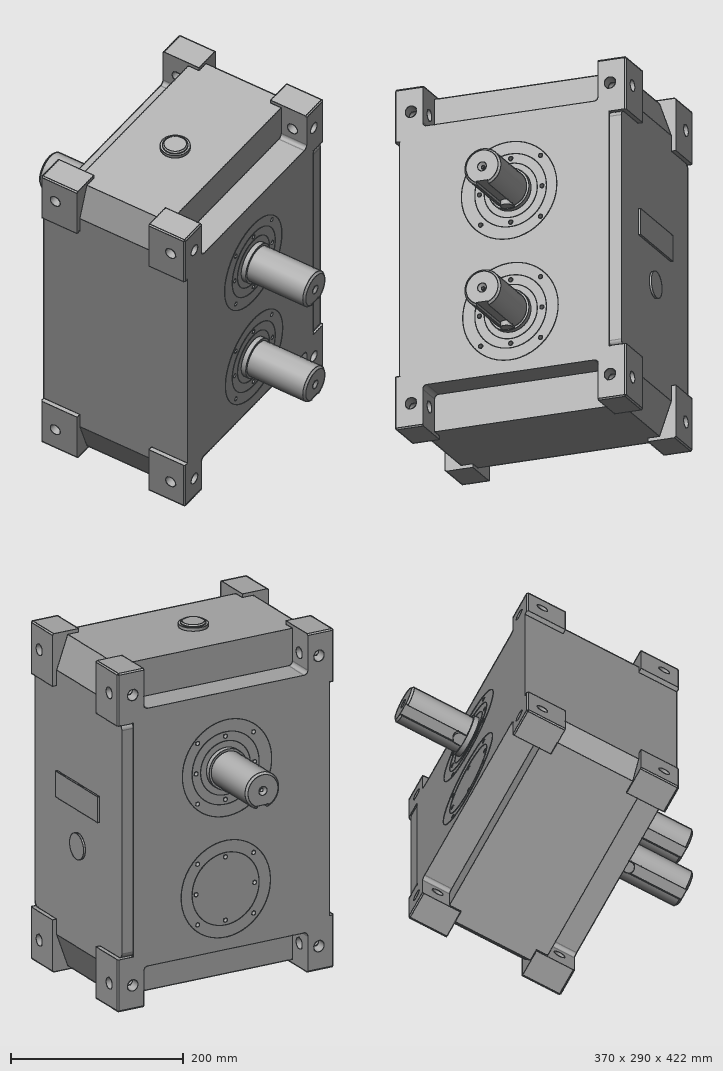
import cadquery as cq
import math

housing_length = 200.0
housing_depth = 278.5
housing_height = 411.0
housing_z = -1.05
bevel_depth = 14.8
bevel_height = 41.5
half_length = housing_length / 2
half_depth = housing_depth / 2
top_z = housing_z + housing_height / 2

foot_length = 50.2
foot_depth = 35.0
foot_height = 65.0
foot_span_y = 290.0
foot_span_z = 420.0
foot_bevel = 1.5
foot_inner_y = foot_span_y / 2 - foot_depth
foot_inner_z = foot_span_z / 2 - foot_height
foot_hole_diameter = 14.0
foot_hole_x = 80
foot_hole_y = 125.0
foot_hole_z = 180.0

pocket_depth = 35.5
pocket_floor_z = 160.0
pocket_fillet = 5.0

cover_thickness = 15.0
cover_inset = 0.5
cover_corner_radius = 6.5

shaft_diameter = 45.0
overall_length = 370.0
shaft_spacing = 150.0
upper_shaft_z = 64.0
lower_shaft_z = upper_shaft_z - shaft_spacing
shaft_bevel = 2.5
collar_diameter = 50.5
collar_length = 5.0
centre_sink_diameter = 11.0
centre_hole_diameter = 4.2
centre_hole_depth = 8.5
key_width = 14.5
key_recess = 5.0
key_rise = 1.3
key_length = 13.5

flange_diameter = 120.0
upper_flange_y = -1.5
lower_flange_y = 0
bearing_cover_diameter = 90.0
seal_diameter = 66.5
seat_step = 0.5
flange_floor = half_length - seat_step
bearing_cover_floor = flange_floor - seat_step
seal_floor = bearing_cover_floor - seat_step
bolt_hole_diameter = 5.0
bolt_hole_depth = 8.5
cover_bolt_radius = 39.2
flange_bolt_radius = 53.0
bolts_per_ring = 4

filler_y = -14.8
filler_flange_diameter = 35.0
filler_flange_height = 4.0
filler_cap_diameter = 29.5
filler_cap_bevel = 1.5
filler_top_z = 211
plate_width = 97
plate_height = 32.0
plate_z = 22.8
glass_diameter = 32.0
glass_z = -39.0
fitting_rise = 2.5


def x_cylinder(diameter, start_x, end_x, y, z):
    """A cylinder along X between two X positions."""
    disc = cq.Workplane("YZ", origin=(start_x, 0, 0)).center(y, z).circle(diameter / 2)
    return disc.extrude(end_x - start_x)


def make_housing():
    """The bevelled block, drawn as an eight-sided outline in YZ."""
    half_height = housing_height / 2
    flat_half = half_height - bevel_height
    ledge = half_depth - bevel_depth
    outline = [
        (-half_depth, -flat_half),
        (-ledge, -half_height),
        (ledge, -half_height),
        (half_depth, -flat_half),
        (half_depth, flat_half),
        (ledge, half_height),
        (-ledge, half_height),
        (-half_depth, flat_half),
    ]
    block = cq.Workplane("YZ", origin=(-half_length, 0, housing_z)).polyline(outline).close()
    return block.extrude(housing_length)


def cut_pockets(body):
    """Cuts the four corner pockets, each running in Y from foot to foot."""
    pocket_height = foot_span_z / 2 - pocket_floor_z
    for side in (-1, 1):
        for level in (-1, 1):
            pocket = (
                cq.Workplane("XY")
                .box(2 * pocket_depth, 2 * foot_inner_y, 2 * pocket_height)
                .edges("|X")
                .fillet(pocket_fillet)
                .translate((side * half_length, 0, housing_z + level * foot_span_z / 2))
            )
            body = body.cut(pocket)
    return body


def shape_cover_plate(body):
    """Sets the ends of the back cover in from the X sides and rounds its corners."""
    block = cq.Workplane("XY").box(2 * housing_length, cover_thickness, 2 * foot_inner_z)
    plate = (
        cq.Workplane("XY")
        .box(housing_length - 2 * cover_inset, cover_thickness, 2 * foot_inner_z)
        .edges("|Y")
        .fillet(cover_corner_radius)
    )
    trim = block.cut(plate).translate((0, half_depth - cover_thickness / 2, housing_z))
    return body.cut(trim)


def make_feet():
    """Eight feet, bevelled where they meet the outside of the part."""
    outer = cq.Workplane("XY").box(housing_length, foot_span_y, foot_span_z).edges().chamfer(foot_bevel)
    blocks = cq.Workplane("XY")
    for side_x in (-1, 1):
        for side_y in (-1, 1):
            for side_z in (-1, 1):
                centre = (
                    side_x * (half_length - foot_length / 2),
                    side_y * (foot_span_y - foot_depth) / 2,
                    side_z * (foot_span_z - foot_height) / 2,
                )
                block = cq.Workplane("XY").box(foot_length, foot_depth, foot_height).translate(centre)
                blocks = blocks.add(block)
    return blocks.combine().intersect(outer).translate((0, 0, housing_z))


def drill_feet(body):
    """Drills each foot through in Y, and in from its X side to meet that hole."""
    for level in (-1, 1):
        z = housing_z + level * foot_hole_z
        for side in (-1, 1):
            along_y = (
                cq.Workplane("XZ", origin=(side * foot_hole_x, 0, z))
                .circle(foot_hole_diameter / 2)
                .extrude(foot_span_y, both=True)
            )
            body = body.cut(along_y)
            for y in (-foot_hole_y, foot_hole_y):
                along_x = x_cylinder(foot_hole_diameter, side * foot_hole_x, side * half_length, y, z)
                body = body.cut(along_x)
    return body


def add_bearing_cover(body, side, z, flange_y):
    """Steps a flange and a bearing cover into one X side and drills their bolt holes."""
    face = side * half_length
    body = body.cut(x_cylinder(flange_diameter, face, side * flange_floor, flange_y, z))
    body = body.cut(x_cylinder(bearing_cover_diameter, face, side * bearing_cover_floor, 0, z))
    half_pitch = math.pi / bolts_per_ring
    for ring_radius, first_angle in ((cover_bolt_radius, 0), (flange_bolt_radius, half_pitch)):
        for bolt in range(bolts_per_ring):
            angle = first_angle + 2 * half_pitch * bolt
            y = ring_radius * math.cos(angle)
            bolt_z = z + ring_radius * math.sin(angle)
            body = body.cut(x_cylinder(bolt_hole_diameter, face, face - side * bolt_hole_depth, y, bolt_z))
    return body


def add_shaft(body, side, z):
    """A collared shaft end with a centre hole and a key seated in its lower side."""
    face = side * half_length
    tip = side * overall_length / 2
    collar_end = face + side * collar_length
    seal_face = side * seal_floor
    radius = shaft_diameter / 2

    body = body.cut(x_cylinder(seal_diameter, face, seal_face, 0, z))
    root = seal_face - side * collar_length
    shaft = x_cylinder(shaft_diameter, root, tip, 0, z)
    shaft = shaft.faces(">X" if side > 0 else "<X").chamfer(shaft_bevel)
    shaft = shaft.union(x_cylinder(collar_diameter, root, collar_end, 0, z))

    hole_radius = centre_hole_diameter / 2
    sink_radius = centre_sink_diameter / 2
    hole_profile = [
        (0, 0),
        (0, sink_radius),
        (sink_radius - hole_radius, hole_radius),
        (centre_hole_depth, hole_radius),
        (centre_hole_depth, 0),
    ]
    hole_points = [(tip - side * depth, z + height) for depth, height in hole_profile]
    hole = cq.Workplane("XZ").polyline(hole_points).close().revolve(360, (tip, z, 0), (tip - 4.2, z, 0))
    shaft = shaft.cut(hole)

    keyway_top = z - radius + key_recess
    keyway = (
        cq.Workplane("XY", origin=(0, 0, keyway_top))
        .center((collar_end + tip) / 2, 0)
        .rect(abs(tip - collar_end), key_width)
        .extrude(-2 * key_recess)
    )
    key_end = collar_end + side * key_length
    key_round_x = key_end - side * key_width / 2
    key = (
        cq.Workplane("XY", origin=(0, 0, keyway_top))
        .moveTo(collar_end, -key_width / 2)
        .lineTo(key_round_x, -key_width / 2)
        .threePointArc((key_end, 0), (key_round_x, key_width / 2))
        .lineTo(collar_end, key_width / 2)
        .close()
        .extrude(-(key_recess + key_rise))
    )
    return body.union(shaft.cut(keyway).union(key))


def add_filler_plug(body):
    """A flanged plug with a bevelled cap."""
    plug = (
        cq.Workplane("XY", origin=(0, filler_y, top_z))
        .circle(filler_flange_diameter / 2)
        .extrude(filler_flange_height)
        .faces(">Z")
        .workplane()
        .circle(filler_cap_diameter / 2)
        .extrude(filler_top_z - top_z - filler_flange_height)
        .faces(">Z")
        .chamfer(filler_cap_bevel)
    )
    return body.union(plug)


def add_back_fittings(body):
    """The name plate and the oil level glass below it."""
    back = cq.Workplane("XZ", origin=(0, half_depth, 0))
    name_plate = back.center(0, plate_z).rect(plate_width, plate_height).extrude(-fitting_rise)
    glass = back.center(0, glass_z).circle(glass_diameter / 2).extrude(-fitting_rise)
    return body.union(name_plate).union(glass)


result = make_housing()
result = cut_pockets(result)
result = shape_cover_plate(result)
result = result.union(make_feet())
result = drill_feet(result)
for side in (-1, 1):
    result = add_bearing_cover(result, side, upper_shaft_z, upper_flange_y)
    result = add_bearing_cover(result, side, lower_shaft_z, lower_flange_y)
result = add_shaft(result, -1, upper_shaft_z)
result = add_shaft(result, 1, upper_shaft_z)
result = add_shaft(result, 1, lower_shaft_z)
result = add_filler_plug(result)
result = add_back_fittings(result)